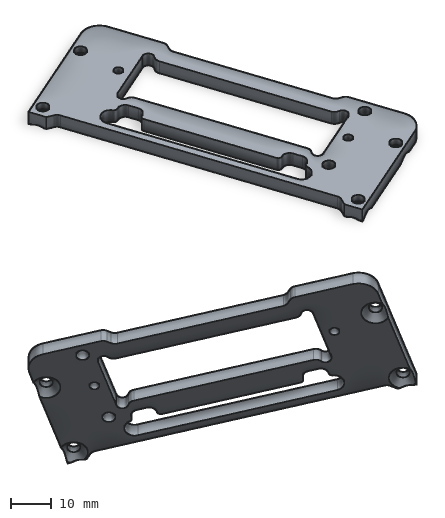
import cadquery as cq
import math

length = 90.0
width = 37.0
thickness = 4.0
half_length = length / 2
half_width = width / 2
corner_radius = 5.0

relief_depth = 2.0
relief_radius = 2.0
top_relief_half = 22.2
bottom_land = 4.9
bottom_relief_half = half_length - bottom_land - relief_depth

window_half = 27.7
window_top = 11.8
window_bottom = -3.1
ear_radius = 1.5
ear_rise = 1.7
ear_blend = 2.0

slot_bottom = -14.5
slot_height = 5.0
slot_half = 28.3
slot_top = slot_bottom + slot_height
lobe_center_x = 22.1
lobe_width = 6.6
lobe_top = -6.3
lobe_radius = 2.0
lobe_blend = 1.0

screw_diameter = 3.2
sink_diameter = 7.0
sink_angle = 90
edge_hole_x = 42.5
edge_hole_ys = (7.6, -15.4)
plain_hole_x = 30.7
plain_hole_ys = (15.3, -6.6)
pin_diameter = 2.4
pin_x = 31.0
pin_y = 4.6


def mirrored(half):
    """Complete a left-half outline of (x, y, radius) corners across the Y axis."""
    return half + [(-x, y, radius) for x, y, radius in reversed(half)]


def rounded_prism(corners):
    """Extrude a closed outline whose corners (x, y, radius) are rounded by tangent arcs."""
    edges = []
    previous_end = None
    first_start = None
    for i, (x, y, radius) in enumerate(corners):
        corner = cq.Vector(x, y)
        before = (cq.Vector(*corners[i - 1][:2]) - corner).normalized()
        after = (cq.Vector(*corners[(i + 1) % len(corners)][:2]) - corner).normalized()
        half_angle = before.getAngle(after) / 2
        setback = radius / math.tan(half_angle)
        start = corner + before * setback
        end = corner + after * setback
        if previous_end is None:
            first_start = start
        else:
            add_line(edges, previous_end, start)
        if radius > 0:
            bisector = (before + after).normalized()
            middle = corner + bisector * (radius / math.sin(half_angle) - radius)
            edges.append(cq.Edge.makeThreePointArc(start, middle, end))
        previous_end = end
    add_line(edges, previous_end, first_start)
    outline = cq.Wire.assembleEdges(edges)
    return cq.Workplane(cq.Solid.extrudeLinear(outline, [], cq.Vector(0, 0, thickness)))


def add_line(edges, start, end):
    """Append a straight edge unless neighbouring arcs already touch."""
    shortest_line = 0.0001
    if (end - start).Length > shortest_line:
        edges.append(cq.Edge.makeLine(start, end))


def make_plate():
    return rounded_prism(mirrored([
        (-bottom_relief_half, -half_width + relief_depth, relief_radius),
        (-half_length + bottom_land, -half_width, 0),
        (-half_length, -half_width, 0),
        (-half_length, half_width, corner_radius),
        (-top_relief_half - relief_depth, half_width, relief_radius),
        (-top_relief_half, half_width - relief_depth, relief_radius),
    ]))


def make_window():
    ear_x = window_half - ear_radius
    ear_ys = (window_top + ear_rise - ear_radius, window_bottom - ear_rise + ear_radius)
    window_height = window_top - window_bottom
    opening = (
        cq.Workplane().center(0, window_bottom + window_height / 2)
        .rect(2 * window_half, window_height).extrude(thickness)
    )
    ears = (
        cq.Workplane()
        .pushPoints([(side * ear_x, y) for side in (-1, 1) for y in ear_ys])
        .circle(ear_radius).extrude(thickness)
    )
    window = opening.union(ears)
    corners = [edge for edge in window.edges("|Z").vals() if abs(edge.Center().x) < ear_x]
    return window.newObject(corners).fillet(ear_blend)


def make_slot():
    slot_middle = slot_bottom + slot_height / 2
    slot = (
        cq.Workplane().center(0, slot_middle)
        .slot2D(2 * slot_half, slot_height).extrude(thickness)
    )
    lobe_height = lobe_top - slot_middle
    lobes = (
        cq.Workplane()
        .pushPoints([(side * lobe_center_x, slot_middle + lobe_height / 2) for side in (-1, 1)])
        .rect(lobe_width, lobe_height).extrude(thickness)
        .edges("|Z and >Y").fillet(lobe_radius)
    )
    search = 0.2
    junctions = cq.selectors.BoxSelector(
        (-slot_half, slot_top - search, -search),
        (slot_half, slot_top + search, thickness + search),
    )
    lobe_sides = [
        side * lobe_center_x + edge * lobe_width / 2 for side in (-1, 1) for edge in (-1, 1)
    ]
    slot = slot.union(lobes)
    blended = [
        edge for edge in slot.edges("|Z").edges(junctions).vals()
        if min(abs(edge.Center().x - x) for x in lobe_sides) < search
    ]
    return slot.newObject(blended).fillet(lobe_blend)


def screw_hole(x, y):
    """Through hole whose countersink opens on the underside."""
    sink_radius = sink_diameter / 2
    sink_depth = sink_radius / math.tan(math.radians(sink_angle / 2))
    sink = cq.Workplane(cq.Solid.makeCone(sink_radius, 0, sink_depth))
    return sink.translate((x, y, 0)).union(plain_hole(x, y, screw_diameter))


def plain_hole(x, y, diameter):
    return cq.Workplane().center(x, y).circle(diameter / 2).extrude(thickness)


result = make_plate().cut(make_window()).cut(make_slot())
for side in (-1, 1):
    result = result.cut(plain_hole(side * pin_x, pin_y, pin_diameter))
    for hole_y in edge_hole_ys:
        result = result.cut(screw_hole(side * edge_hole_x, hole_y))
for hole_y in plain_hole_ys:
    result = result.cut(plain_hole(plain_hole_x, hole_y, screw_diameter))